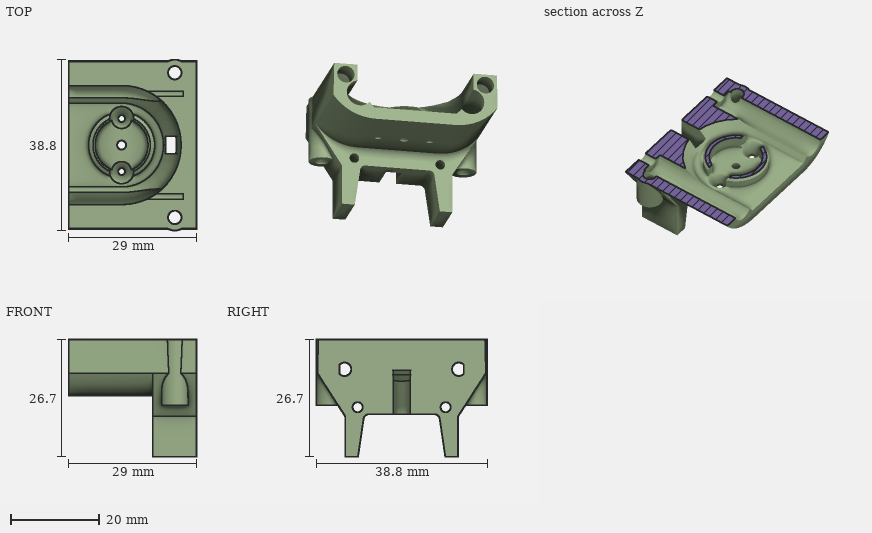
import cadquery as cq
import math


X_MIN = -12.0
X_MAX = 17.0
LEG_X_MIN = 7.0
TOP_HALF_WIDTH = 18.88
SIDE_HALF_WIDTH = 19.07
SIDE_Z = -7.72
BELLY_Z = -12.75
BELLY_RADIUS = 12.0
ARC_CENTRE_RISE = BELLY_RADIUS - (SIDE_Z - BELLY_Z)
BELLY_HALF_WIDTH = SIDE_HALF_WIDTH - math.sqrt(BELLY_RADIUS**2 - ARC_CENTRE_RISE**2)

LEG_OUTER_Y = 12.8
LEG_SHOULDER_Z = -17.5
LEG_TIP_Z = -26.66
LEG_TIP_INNER_Y = 9.87
LEG_ROOT_INNER_Y = 8.45
BRIDGE_Z = -17.0
LEG_ROOT_FILLET = 1.2
CROSS_HOLE_Y = 9.97
CROSS_HOLE_Z = -15.4
CROSS_HOLE_DIAMETER = 2.25

BOSS_X = 12.05
BOSS_Y = 16.395
BOSS_DIAMETER = 6.0
BOSS_BOTTOM_Z = -15.0
BOSS_HOLE_DIAMETER = 3.0

CAVITY_RADIUS = 13.5
CAVITY_CHAMFER_Z = -6.0
FLOOR_RADIUS = 9.5
FLOOR_Z = -10.0

RING_RADIUS = 7.5
RING_TOP_Z = -7.0
RING_CHAMFER = 1.0
RING_BORE_RADIUS = 6.0
RING_FLOOR_Z = -10.5
CENTRE_HOLE_DIAMETER = 2.0

SINK_Y = 6.0
SINK_HOLE_DIAMETER = 1.5
SINK_TIP_Z = -12.0
SINK_RADIUS = SINK_HOLE_DIAMETER / 2 + FLOOR_Z - SINK_TIP_Z

SLOT_X_MIN = 10.0
SLOT_WIDTH = 3.9
SLOT_TOP_Z = -7.05

CHANNEL_Y = 12.95
CHANNEL_Z = -6.8
CHANNEL_DIAMETER = 6.0
CHANNEL_END_X = 14.0
ROD_HOLE_DIAMETER = 3.0
ROD_HOLE_FLAT = 1.1

SOCKET_Y = 16.2
SOCKET_Z = -2.55
SOCKET_DIAMETER = 4.0
SOCKET_DEPTH = 5.0

GROOVE_Y = 11.66
GROOVE_RADIUS = 1.5
GROOVE_WIDTH = 1.17
GROOVE_END_X = 14.0

BOTH_SIDES = (1, -1)


def rod_x(radius, x_start, x_end, y, z):
    """Round bar along X."""
    start = cq.Workplane("YZ", origin=(x_start, y, z))
    return start.circle(radius).extrude(x_end - x_start)


def rod_z(radius, z_bottom, z_top, x, y):
    """Round bar along Z."""
    start = cq.Workplane("XY", origin=(x, y, z_bottom))
    return start.circle(radius).extrude(z_top - z_bottom)


def cavity_outline(radius, z):
    """U outline around the ring centre, running out past the open end."""
    return (
        cq.Workplane("XY", origin=(0, 0, z))
        .moveTo(2 * X_MIN, -radius)
        .lineTo(0, -radius)
        .threePointArc((radius, 0), (0, radius))
        .lineTo(2 * X_MIN, radius)
        .close()
    )


def make_tray():
    """Block with drafted sides and rounded lower corners."""
    return (
        cq.Workplane("YZ", origin=(X_MIN, 0, 0))
        .moveTo(-TOP_HALF_WIDTH, 0)
        .lineTo(-SIDE_HALF_WIDTH, SIDE_Z)
        .radiusArc((-BELLY_HALF_WIDTH, BELLY_Z), -BELLY_RADIUS)
        .lineTo(BELLY_HALF_WIDTH, BELLY_Z)
        .radiusArc((SIDE_HALF_WIDTH, SIDE_Z), -BELLY_RADIUS)
        .lineTo(TOP_HALF_WIDTH, 0)
        .close()
        .extrude(X_MAX - X_MIN)
    )


def make_leg_block():
    """Rear block that carries the two tapered legs."""
    half = [
        (TOP_HALF_WIDTH, 0),
        (SIDE_HALF_WIDTH, SIDE_Z),
        (LEG_OUTER_Y, LEG_SHOULDER_Z),
        (LEG_OUTER_Y, LEG_TIP_Z),
        (LEG_TIP_INNER_Y, LEG_TIP_Z),
        (LEG_ROOT_INNER_Y, BRIDGE_Z),
    ]
    mirrored = [(-y, z) for y, z in reversed(half)]
    block = (
        cq.Workplane("YZ", origin=(LEG_X_MIN, 0, 0))
        .polyline(half + mirrored)
        .close()
        .extrude(X_MAX - LEG_X_MIN)
    )
    mid_x = (LEG_X_MIN + X_MAX) / 2
    for side in BOTH_SIDES:
        root = cq.NearestToPointSelector((mid_x, side * LEG_ROOT_INNER_Y, BRIDGE_Z))
        block = block.edges(root).fillet(LEG_ROOT_FILLET)
    for side in BOTH_SIDES:
        block = block.cut(rod_x(
            CROSS_HOLE_DIAMETER / 2, LEG_X_MIN, X_MAX, side * CROSS_HOLE_Y, CROSS_HOLE_Z
        ))
    return block


def make_cavity():
    """Straight-walled slot with a 45 degree slope down to the floor."""
    upper = cavity_outline(CAVITY_RADIUS, CAVITY_CHAMFER_Z).extrude(-CAVITY_CHAMFER_Z)
    slope_depth = CAVITY_CHAMFER_Z - FLOOR_Z
    slope_angle = math.degrees(math.atan2(CAVITY_RADIUS - FLOOR_RADIUS, slope_depth))
    lower = cavity_outline(CAVITY_RADIUS, CAVITY_CHAMFER_Z).extrude(-slope_depth, taper=slope_angle)
    return upper.union(lower)


def add_ring(body):
    """Chamfered ring with a recessed floor and a centre hole."""
    ring = rod_z(RING_RADIUS, FLOOR_Z, RING_TOP_Z, 0, 0)
    ring = ring.faces(">Z").chamfer(RING_CHAMFER)
    body = body.union(ring)
    body = body.cut(rod_z(RING_BORE_RADIUS, RING_FLOOR_Z, RING_TOP_Z, 0, 0))
    return body.cut(rod_z(CENTRE_HOLE_DIAMETER / 2, BELLY_Z, RING_TOP_Z, 0, 0))


def make_sink(y):
    """Through hole, 45 degree cone and a clearance bore above the floor."""
    return (
        cq.Workplane("XZ", origin=(0, y, 0))
        .moveTo(0, RING_TOP_Z)
        .lineTo(SINK_RADIUS, RING_TOP_Z)
        .lineTo(SINK_RADIUS, FLOOR_Z)
        .lineTo(SINK_HOLE_DIAMETER / 2, SINK_TIP_Z)
        .lineTo(SINK_HOLE_DIAMETER / 2, BELLY_Z)
        .lineTo(0, BELLY_Z)
        .close()
        .revolve(360, (0, 0, 0), (0, 1, 0))
    )


def make_rear_slot():
    """Slot roofed under the top face, open at the rear and at the underside."""
    length = X_MAX - SLOT_X_MIN
    return (
        cq.Workplane("XY", origin=(SLOT_X_MIN + length / 2, 0, BRIDGE_Z))
        .rect(length, SLOT_WIDTH)
        .extrude(SLOT_TOP_Z - BRIDGE_Z)
    )


def make_channel(side):
    """Round rod channel, continued through the rear wall by a D-shaped hole."""
    y = side * CHANNEL_Y
    channel = rod_x(CHANNEL_DIAMETER / 2, X_MIN, CHANNEL_END_X, y, CHANNEL_Z)
    hole = rod_x(ROD_HOLE_DIAMETER / 2, CHANNEL_END_X, X_MAX, y, CHANNEL_Z)
    flat_y = side * (CHANNEL_Y + ROD_HOLE_FLAT + ROD_HOLE_DIAMETER / 2)
    outside_flat = (
        cq.Workplane("YZ", origin=(CHANNEL_END_X, flat_y, CHANNEL_Z))
        .rect(ROD_HOLE_DIAMETER, ROD_HOLE_DIAMETER)
        .extrude(X_MAX - CHANNEL_END_X)
    )
    return channel.union(hole.cut(outside_flat))


def make_socket(side):
    """Blind round socket in the front end of a side wall."""
    socket_end = X_MIN + SOCKET_DEPTH
    return rod_x(SOCKET_DIAMETER / 2, X_MIN, socket_end, side * SOCKET_Y, SOCKET_Z)


def make_groove(side):
    """Round bar that just dips into the top face."""
    axis_z = math.sqrt(GROOVE_RADIUS**2 - (GROOVE_WIDTH / 2) ** 2)
    return rod_x(GROOVE_RADIUS, 0, GROOVE_END_X, side * GROOVE_Y, axis_z)


body = make_tray().union(make_leg_block())
for side in BOTH_SIDES:
    body = body.union(rod_z(BOSS_DIAMETER / 2, BOSS_BOTTOM_Z, 0, BOSS_X, side * BOSS_Y))

body = body.cut(make_cavity())
for side in BOTH_SIDES:
    body = body.cut(make_channel(side))
    body = body.cut(make_socket(side))
    body = body.cut(make_groove(side))
    body = body.cut(rod_z(BOSS_HOLE_DIAMETER / 2, BOSS_BOTTOM_Z, 0, BOSS_X, side * BOSS_Y))

body = add_ring(body)
for side in BOTH_SIDES:
    body = body.cut(make_sink(side * SINK_Y))

result = body.cut(make_rear_slot())